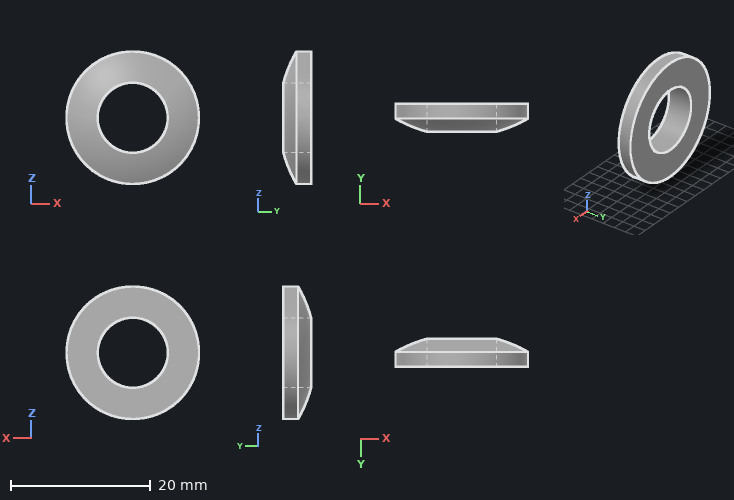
import cadquery as cq
import math

outer_diameter = 19.0
hole_diameter = 10.0
thickness = 4.0
rim_width = 2.13
dome_radius = 19.0

outer_radius = outer_diameter / 2
hole_radius = hole_diameter / 2
back_y = thickness / 2
front_y = -thickness / 2
rim_front_y = back_y - rim_width

dome_center_y = front_y + math.sqrt(dome_radius**2 - hole_radius**2)
middle_radius = (outer_radius + hole_radius) / 2
middle_y = dome_center_y - math.sqrt(dome_radius**2 - middle_radius**2)

result = (
    cq.Workplane("XY")
    .moveTo(hole_radius, back_y)
    .lineTo(outer_radius, back_y)
    .lineTo(outer_radius, rim_front_y)
    .threePointArc((middle_radius, middle_y), (hole_radius, front_y))
    .close()
    .revolve(360, (0, 0, 0), (0, 1, 0))
)